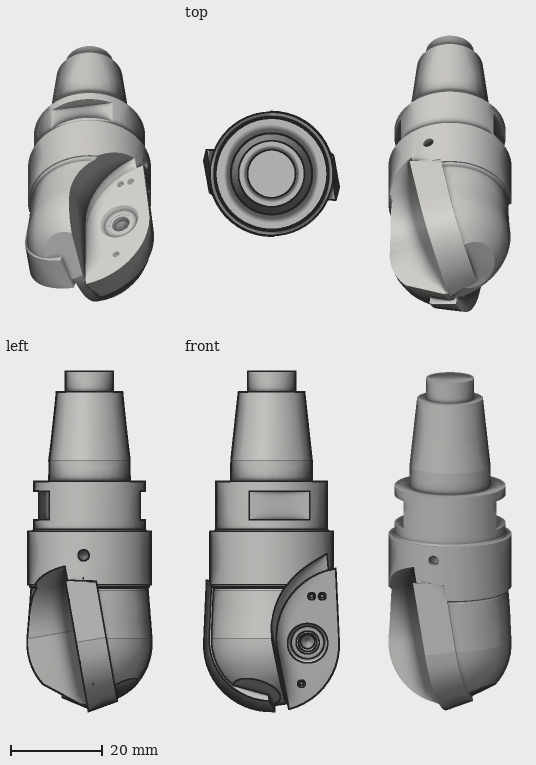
import cadquery as cq
import math


TOTAL_HEIGHT = 74.0
PILOT_RADIUS = 10.4 / 2
PILOT_BOTTOM = 69.5
SHANK_TOP_RADIUS = 7.2
SHANK_MID_RADIUS = 8.8
SHANK_MID_HEIGHT = 54.6
SHANK_BOTTOM_RADIUS = 8.9
COLLAR_RADIUS = 24.2 / 2
COLLAR_TOP = 50.0
COLLAR_CHAMFER = 0.4
HEAD_RADIUS = 26.8 / 2
HEAD_TOP = 39.2
HEAD_BOTTOM = 27.5
STEP_RADIUS = 13.0
STEP_BOTTOM = 27.15
GROOVE_RADIUS = 12.6
GROOVE_HEIGHT = 26.8
NECK_RADIUS = 12.7
NECK_HEIGHT = 26.4
NOSE_RADIUS = 27.15 / 2
NOSE_CENTRE = 14.95

FLAT_DISTANCE = 10.05
FLAT_ANGLE = 10.0
FLAT_BOTTOM = 41.65
FLAT_TOP = 47.95
COOLANT_DIAMETER = 2.4
COOLANT_OFFSET = 1.25
COOLANT_DEPTH = 2.95
DRILL_POINT_ANGLE = 118.0

FACET_TILT = 32.0
FACET_TURN = 29.0
FACET_APEX = 0.2

SEAT_TILT = 10.0
SEAT_OFFSET = 0.2
INSERT_THICKNESS = 6.6
INSERT_RELIEF = 10.0
CUTTING_RADIUS = 29.45 / 2
BACK_ARC_RADIUS = 15.5
SEAT_OPENING = 0.75
GULLET_CLEARANCE = 0.4
GULLET_RISE = 3.3
GULLET_BOTTOM = -3.7
GULLET_RECESS = 0.45

LARGE = 44.4

SCREW_PLACE = (7.85, 15.1)
SCREW_PROFILE = [(4.4, 0), (3.85, 0.5), (3.59, 0.9), (2.5, 0.9), (2.5, 0.95), (2.0, 0.95), (1.55, 2.0), (0, 2.9)]
MARK_PLACES = [(8.7, 25.45), (11.0, 25.45), (6.5, 6.15)]
MARK_PROFILE = [(0.8, 0), (0.45, 0.45), (0, 0.45)]

INSERTS = [
    {"turn": 0.0, "tip_u": 3.8, "lean": 11.0, "arc_v": 16.3, "corner_u": 14.0, "coolant_z": 36.1},
    {"turn": 180.0, "tip_u": -0.75, "lean": -4.0, "arc_v": 13.55, "corner_u": 14.1, "coolant_z": 33.95},
]


def turned(shape, angle):
    """Turn a shape about the Z axis."""
    return shape.rotate((0, 0, 0), (0, 0, 1), angle)


def seat_plane():
    """Plane of an insert face: u along X, v up the face, normal out of the face."""
    tilt = math.radians(SEAT_TILT)
    normal = (0, -math.cos(tilt), -math.sin(tilt))
    return cq.Plane(origin=(0, -SEAT_OFFSET, 0), xDir=(1, 0, 0), normal=normal)


def socket(plane, place, profile):
    """Round recess going into a plane, turned from (radius, depth) points."""
    side = cq.Plane(origin=plane.toWorldCoords((*place, 0)), xDir=plane.xDir, normal=-plane.yDir)
    points = [(radius, -depth) for radius, depth in profile]
    return cq.Workplane(side).polyline([(0, 0)] + points).close().revolve(360, (0, 0), (0, 1))


def coolant_hole(height):
    """Drilled hole with a conical end, going into the +X side of the head."""
    radius = COOLANT_DIAMETER / 2
    point = radius / math.tan(math.radians(DRILL_POINT_ANGLE / 2))
    profile = [(radius, 0), (radius, COOLANT_DEPTH), (0, COOLANT_DEPTH + point)]
    plane = cq.Plane(origin=(HEAD_RADIUS, 0, height), xDir=(0, 1, 0), normal=(1, 0, 0))
    return socket(plane, (-COOLANT_OFFSET, 0), profile)


def back_edge(insert, clearance, rise):
    """Inner edge line and back arc: tip, tangent point and centre of the arc."""
    lean = math.radians(insert["lean"])
    tip_u = insert["tip_u"]
    tip_v = CUTTING_RADIUS - math.sqrt(CUTTING_RADIUS**2 - tip_u**2)
    tip_u -= clearance / math.cos(lean)
    centre_v = insert["arc_v"] + rise
    tangent_v = centre_v - BACK_ARC_RADIUS * math.sin(lean)
    tangent_u = tip_u - (tangent_v - tip_v) * math.tan(lean)
    centre_u = tangent_u + BACK_ARC_RADIUS * math.cos(lean)
    return (tip_u, tip_v), (tangent_u, tangent_v), (centre_u, centre_v)


def on_arc(centre, radius, angle):
    """Point of an arc at an angle in radians."""
    return (centre[0] + radius * math.cos(angle), centre[1] + radius * math.sin(angle))


def insert_blank(insert):
    """Insert without holes; its sides slope in towards the back face."""
    tip, tangent, centre = back_edge(insert, 0, 0)
    corner_angle = math.acos((insert["corner_u"] - centre[0]) / BACK_ARC_RADIUS)
    corner = on_arc(centre, BACK_ARC_RADIUS, corner_angle)
    start_angle = math.pi + math.radians(insert["lean"])
    back_middle = on_arc(centre, BACK_ARC_RADIUS, (start_angle + corner_angle) / 2)

    nose = (0, CUTTING_RADIUS)
    rise = corner[1] - CUTTING_RADIUS
    flank_angle = math.atan2(rise, corner[0]) - math.acos(CUTTING_RADIUS / math.hypot(corner[0], rise))
    tip_angle = math.atan2(tip[1] - CUTTING_RADIUS, tip[0])
    flank_end = on_arc(nose, CUTTING_RADIUS, flank_angle)
    nose_middle = on_arc(nose, CUTTING_RADIUS, (flank_angle + tip_angle) / 2)

    outline = (
        cq.Workplane(seat_plane())
        .moveTo(*tip)
        .lineTo(*tangent)
        .threePointArc(back_middle, corner)
        .lineTo(*flank_end)
        .threePointArc(nose_middle, tip)
        .close()
    )
    return outline.extrude(-INSERT_THICKNESS, taper=INSERT_RELIEF)


def gullet(insert):
    """Chip space in front of an insert, open to the outside of the body."""
    tip, tangent, centre = back_edge(insert, GULLET_CLEARANCE, GULLET_RISE)
    start_angle = math.pi + math.radians(insert["lean"])
    end_angle = math.pi / 2
    middle = on_arc(centre, BACK_ARC_RADIUS, (start_angle + end_angle) / 2)
    top = on_arc(centre, BACK_ARC_RADIUS, end_angle)
    low = (tip[0] + (tip[1] - GULLET_BOTTOM) * math.tan(math.radians(insert["lean"])), GULLET_BOTTOM)
    return (
        cq.Workplane(seat_plane())
        .workplane(offset=-GULLET_RECESS)
        .moveTo(*low)
        .lineTo(*tangent)
        .threePointArc(middle, top)
        .lineTo(LARGE, top[1])
        .lineTo(LARGE, GULLET_BOTTOM)
        .close()
        .extrude(LARGE)
    )


def finished_insert(blank):
    """Insert with its screw socket and marks."""
    finished = blank.cut(socket(seat_plane(), SCREW_PLACE, SCREW_PROFILE))
    for place in MARK_PLACES:
        finished = finished.cut(socket(seat_plane(), place, MARK_PROFILE))
    return finished


def revolved_body():
    """Pilot, tapered shank, collar, head, undercut groove and rounded nose."""
    cone_slope = math.atan2(NOSE_RADIUS - NECK_RADIUS, NECK_HEIGHT - NOSE_CENTRE)
    nose_start = (NOSE_RADIUS * math.cos(cone_slope), NOSE_CENTRE + NOSE_RADIUS * math.sin(cone_slope))
    middle = (cone_slope - math.pi / 2) / 2
    nose_middle = (NOSE_RADIUS * math.cos(middle), NOSE_CENTRE + NOSE_RADIUS * math.sin(middle))
    return (
        cq.Workplane("XZ")
        .moveTo(0, TOTAL_HEIGHT)
        .lineTo(PILOT_RADIUS, TOTAL_HEIGHT)
        .lineTo(PILOT_RADIUS, PILOT_BOTTOM)
        .lineTo(SHANK_TOP_RADIUS, PILOT_BOTTOM)
        .lineTo(SHANK_MID_RADIUS, SHANK_MID_HEIGHT)
        .lineTo(SHANK_BOTTOM_RADIUS, COLLAR_TOP)
        .lineTo(COLLAR_RADIUS, COLLAR_TOP)
        .lineTo(COLLAR_RADIUS, HEAD_TOP + COLLAR_CHAMFER)
        .lineTo(COLLAR_RADIUS + COLLAR_CHAMFER, HEAD_TOP)
        .lineTo(HEAD_RADIUS, HEAD_TOP)
        .lineTo(HEAD_RADIUS, HEAD_BOTTOM)
        .lineTo(STEP_RADIUS, HEAD_BOTTOM)
        .lineTo(STEP_RADIUS, STEP_BOTTOM)
        .lineTo(GROOVE_RADIUS, GROOVE_HEIGHT)
        .lineTo(NECK_RADIUS, NECK_HEIGHT)
        .lineTo(*nose_start)
        .threePointArc(nose_middle, (0, NOSE_CENTRE - NOSE_RADIUS))
        .close()
        .revolve(360, (0, 0), (0, 1))
    )


def wrench_flat():
    """Space outside one flat, which stands on the +Y side of the collar."""
    flat = cq.Workplane("XY").box(LARGE, LARGE, FLAT_TOP - FLAT_BOTTOM, centered=(True, False, False))
    return turned(flat.translate((0, FLAT_DISTANCE, FLAT_BOTTOM)), FLAT_ANGLE)


def nose_facet():
    """Space below the sloping plane that relieves the nose on one side."""
    space = cq.Workplane("XY").box(LARGE, LARGE, LARGE, centered=(True, True, False)).translate((0, 0, -LARGE))
    space = space.rotate((0, 0, 0), (1, 0, 0), -FACET_TILT)
    return turned(space, -FACET_TURN).translate((0, 0, FACET_APEX))


body = revolved_body()
inserts = []
for spec in INSERTS:
    blank = insert_blank(spec)
    cuts = [
        gullet(spec),
        nose_facet(),
        blank,
        blank.translate((SEAT_OPENING, 0, 0)),
        wrench_flat(),
        coolant_hole(spec["coolant_z"]),
    ]
    for cut in cuts:
        body = body.cut(turned(cut, spec["turn"]))
    inserts.append(turned(finished_insert(blank), spec["turn"]))

result = cq.Compound.makeCompound([body.val()] + [insert.val() for insert in inserts])